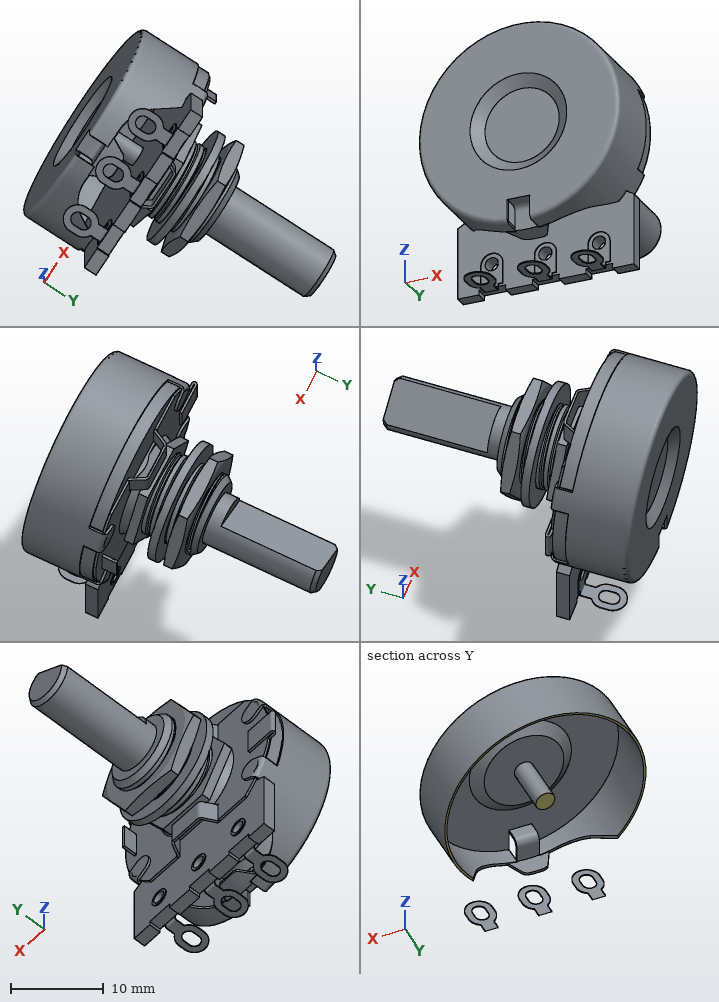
import cadquery as cq
import math


sheet = 0.3

case_front = 7.08
board_front = 8.6
plate_front = 8.87
flange_back = 9.9
flange_front = 10.97
washer_back = 12.85
washer_front = 13.8
nut_back = 14.68
nut_front = 16.25
bushing_front = 17.45
flat_back = 18.95
shaft_tip = 30.9

case_radius = 11.9
case_fillet = 0.53
dimple_rim_radius = 5.72
dimple_floor_radius = 4.4
dimple_depth = 0.95
skirt_opening_half_width = 8.65
skirt_opening_base_half_width = 5.87
skirt_opening_back = 2.47
skirt_opening_fillet = 4.65

tab_half_width = 1.33
tab_top = -9.1
tab_back = 2.07
tab_bend_radius = 0.62
tab_front = tab_back + sheet

tongue_front = 4.57
tongue_radius = 11.95
tongue_root_half_width = 2.47
tongue_corner_radius = 0.77

ear_angles = (30, 150, 210, 330)
ear_width = 2.65
ear_end_center = 10.17
ear_bend_radius = 0.6
ear_slot_clearance = 0.1
ear_front = plate_front + sheet

board_radius = 11.7
board_half_width = 10.42
board_bottom = -16.0
board_shoulder = -7.6
board_shoulder_angle = 30
board_notch_half_width = 1.58
board_notch_top = -15.45

terminal_pitch = 6.35
terminal_places = (-terminal_pitch, 0, terminal_pitch)
terminal_sheet = 0.12
terminal_half_width = 1.3
terminal_hole_z = -12.7
terminal_hole_radius = 0.77
terminal_pad_bottom = -15.18
neck_half_width = 0.77
neck_bend_radius = 0.15
rivet_head_radius = 1.08
lug_bottom = -15.98
lug_center_y = 3.95
lug_radius = 1.58
lug_hole_radius = 0.77
lug_straight = 0.77

plate_radius = 11.5
plate_half_height = 8.6
cone_base_radius = 5.85
cone_top_radius = 5.3
slot_inner = 5.7
arch_base_half_width = 3.35
arch_top_half_width = 2.3
arch_front = 10.6
arch_sheet = 0.28
arch_bend_radius = 0.62
pin_x = 9.75
pin_half_width = 1.8
pin_front = 10.63
hook_tip = -12.5
hook_end = -8.55
hook_front = 9.25
hook_half_width = 1.8

flange_corner_x = 6.7
flange_half_height = 5.72
flange_top_half_width = 3.15
thread_radius = 4.75
bushing_tip_radius = 4.17
bushing_chamfer = 0.68
thread_pitch = 1.0
thread_depth = 0.25
groove_mouth = 0.5
groove_floor = 0.22
groove_start = 9.77
groove_turns = 7
groove_overshoot = 0.05
shaft_radius = 3.0
shaft_tip_radius = 2.6
shaft_chamfer = 0.53
flat_distance = shaft_radius / 2
flat_angle = -30
pivot_radius = 1.15
nut_across_flats = 12.75
nut_face_radius = 6.25
nut_corner_chamfer = 0.28
washer_radius = 7.0


def across_y(y):
    """Sketch plane at height y on the axis, with sketch axes X and Z."""
    return cq.Workplane("XZ", origin=(0, y, 0))


def disc(radius, y_back, y_front):
    return across_y(y_back).circle(radius).extrude(y_back - y_front)


def block(x_range, y_range, z_range):
    ranges = (x_range, y_range, z_range)
    sizes = [high - low for low, high in ranges]
    return cq.Workplane("XY").box(*sizes, centered=False).translate([low for low, high in ranges])


def turned(profile):
    """Solid of revolution about Y from (radius, y) points."""
    return cq.Workplane("XY").polyline(profile).close().revolve(360, (0, 0, 0), (0, 1, 0))


def make_dimple(wall):
    """Cone that fills the dimple, thickened by a wall and moved inwards by as much."""
    return turned([
        (0, wall),
        (dimple_rim_radius + wall, wall),
        (dimple_floor_radius + wall, dimple_depth + wall),
        (0, dimple_depth + wall),
    ])


def make_skirt_opening():
    """Trapezoidal cutter with rounded inner corners, for the underside of the case skirt."""
    return (
        cq.Workplane("XY", origin=(0, 0, -case_radius - sheet))
        .polyline([
            (-skirt_opening_half_width, case_front),
            (-skirt_opening_base_half_width, skirt_opening_back),
            (skirt_opening_base_half_width, skirt_opening_back),
            (skirt_opening_half_width, case_front),
        ])
        .close()
        .extrude(case_radius)
        .edges("|Z and <Y")
        .fillet(skirt_opening_fillet)
    )


def make_case():
    shell = disc(case_radius, 0, case_front).faces("<Y").edges().fillet(case_fillet)
    cavity = disc(case_radius - sheet, sheet, case_front)
    cavity = cavity.cut(make_dimple(sheet))
    shell = shell.cut(cavity).cut(make_dimple(0)).cut(make_skirt_opening())
    notch = block((-tab_half_width, tab_half_width), (0, case_front), (-2 * case_radius, tab_top))
    return shell.cut(notch)


def make_stop_tab():
    """Sheet tab that runs inwards from the case back and bends down to the skirt."""
    outer_radius = tab_bend_radius + sheet
    bend_y = tab_back - tab_bend_radius
    bend_z = tab_top - tab_bend_radius
    diagonal = math.sqrt(0.5)
    tab = (
        cq.Workplane("YZ", origin=(-tab_half_width, 0, 0))
        .moveTo(0, tab_top)
        .lineTo(bend_y, tab_top)
        .threePointArc(
            (bend_y + tab_bend_radius * diagonal, bend_z + tab_bend_radius * diagonal),
            (tab_back, bend_z),
        )
        .lineTo(tab_back, -tongue_radius)
        .lineTo(tab_front, -tongue_radius)
        .lineTo(tab_front, bend_z)
        .threePointArc(
            (bend_y + outer_radius * diagonal, bend_z + outer_radius * diagonal),
            (bend_y, tab_top + sheet),
        )
        .lineTo(0, tab_top + sheet)
        .close()
        .extrude(2 * tab_half_width)
    )
    return tab.intersect(disc(tongue_radius, 0, tongue_front))


def make_tongue():
    """Curved tongue that continues the skirt forwards, tapering to a tip with rounded corners."""
    outline = (
        cq.Workplane("XY", origin=(0, 0, -tongue_radius))
        .polyline([
            (-tongue_root_half_width, tab_front),
            (-tab_half_width, tongue_front),
            (tab_half_width, tongue_front),
            (tongue_root_half_width, tab_front),
        ])
        .close()
        .extrude(tongue_radius / 2)
        .edges("|Z and >Y")
        .fillet(tongue_corner_radius)
    )
    shell = disc(tongue_radius, tab_front, tongue_front)
    shell = shell.cut(disc(tongue_radius - sheet, tab_front, tongue_front))
    return shell.intersect(outline)


def make_ear(angle):
    """Strip of case wall that crosses the board edge and folds over the plate to a round end."""
    half_width = ear_width / 2
    strip = block((ear_end_center, case_radius), (case_front, ear_front), (-half_width, half_width))
    strip = strip.intersect(disc(case_radius, case_front, ear_front))
    strip = strip.faces(">Y").edges(">X").fillet(ear_bend_radius)
    strip = strip.cut(disc(case_radius - sheet, case_front, plate_front))
    end = disc(half_width, plate_front, ear_front).translate((ear_end_center, 0, 0))
    return strip.union(end).rotate((0, 0, 0), (0, 1, 0), angle)


def make_ear_slot(angle):
    """Slot in the board edge that leaves a small clearance beside one ear."""
    half_width = ear_width / 2 + ear_slot_clearance
    slot = block((0, case_radius), (case_front, board_front), (-half_width, half_width))
    slot = slot.cut(disc(case_radius - sheet, case_front, board_front))
    return slot.rotate((0, 0, 0), (0, 1, 0), angle)


def make_apron():
    """Lower part of the board with sloping shoulders that run up inside the round part."""
    inner_half_width = board_radius / 2
    shoulder_run = board_half_width - inner_half_width
    shoulder_top = board_shoulder + shoulder_run * math.tan(math.radians(board_shoulder_angle))
    return (
        across_y(case_front)
        .polyline([
            (-board_half_width, board_bottom),
            (board_half_width, board_bottom),
            (board_half_width, board_shoulder),
            (inner_half_width, shoulder_top),
            (-inner_half_width, shoulder_top),
            (-board_half_width, board_shoulder),
        ])
        .close()
        .extrude(case_front - board_front)
    )


def make_board():
    board = disc(board_radius, case_front, board_front)
    for angle in ear_angles:
        board = board.cut(make_ear_slot(angle))
    board = board.union(make_apron())
    for x in terminal_places:
        board = board.cut(block(
            (x - board_notch_half_width, x + board_notch_half_width),
            (case_front, board_front),
            (board_bottom, board_notch_top),
        ))
    return board


def make_terminal(x):
    """Sheet terminal on the back of the board: pad, neck, and a ring lug bent backwards."""
    pad_back = case_front - terminal_sheet
    pad = block(
        (-terminal_half_width, terminal_half_width),
        (pad_back, case_front),
        (terminal_pad_bottom, terminal_hole_z),
    )
    pad_round = disc(terminal_half_width, pad_back, case_front).translate((0, 0, terminal_hole_z))
    lug_top = lug_bottom + terminal_sheet
    neck = (
        cq.Workplane("YZ", origin=(-neck_half_width, 0, 0))
        .polyline([
            (case_front, terminal_pad_bottom),
            (case_front, lug_bottom),
            (lug_center_y, lug_bottom),
            (lug_center_y, lug_top),
            (pad_back, lug_top),
            (pad_back, terminal_pad_bottom),
        ])
        .close()
        .extrude(2 * neck_half_width)
    )
    inner_corner = cq.selectors.NearestToPointSelector((0, pad_back, lug_top))
    outer_corner = cq.selectors.NearestToPointSelector((0, case_front, lug_bottom))
    neck = neck.edges(inner_corner).fillet(neck_bend_radius)
    neck = neck.edges(outer_corner).fillet(neck_bend_radius + terminal_sheet)
    lug_plane = cq.Workplane("XY", origin=(0, lug_center_y, lug_bottom))
    ring_length = lug_straight + 2 * lug_radius
    eye_length = lug_straight + 2 * lug_hole_radius
    along_y = 90
    ring = lug_plane.slot2D(ring_length, 2 * lug_radius, along_y).extrude(terminal_sheet)
    eye = lug_plane.slot2D(eye_length, 2 * lug_hole_radius, along_y).extrude(terminal_sheet)
    return pad.union(pad_round).union(neck).union(ring).cut(eye).translate((x, 0, 0))


def make_rivet_head(x):
    head = disc(rivet_head_radius, board_front, board_front + terminal_sheet)
    return head.translate((x, 0, terminal_hole_z))


def make_rivet_hole(x):
    hole = disc(terminal_hole_radius, case_front - sheet, board_front + sheet)
    return hole.translate((x, 0, terminal_hole_z))


def make_trapezoid(base_half_width, top_half_width, front, corner_radius):
    """Trapezoidal prism standing on the board, with its two front corners rounded."""
    outline = cq.Workplane("XY", origin=(0, 0, slot_inner)).polyline([
        (-base_half_width, board_front),
        (-top_half_width, front),
        (top_half_width, front),
        (base_half_width, board_front),
    ])
    prism = outline.close().extrude(plate_half_height - slot_inner)
    return prism.edges("|Z and >Y").fillet(corner_radius)


def make_arch():
    """Trapezoidal bridge of plate sheet above the upper slot."""
    slope = math.atan2(arch_front - board_front, arch_base_half_width - arch_top_half_width)
    wall_run = arch_sheet / math.sin(slope)
    corner_shift = arch_sheet * math.tan(slope / 2)
    outer = make_trapezoid(arch_base_half_width, arch_top_half_width, arch_front, arch_bend_radius)
    inner = make_trapezoid(
        arch_base_half_width - wall_run,
        arch_top_half_width - corner_shift,
        arch_front - arch_sheet,
        arch_bend_radius - arch_sheet,
    )
    return outer.cut(inner)


def make_hook():
    """Hairpin strip that leaves the plate edge and folds back over it."""
    side = (-hook_half_width, hook_half_width)
    bend_radius = (hook_front - board_front) / 2
    bend_x = hook_tip + bend_radius
    strip = block((bend_x, hook_end), (board_front, hook_front), side)
    bend = (
        cq.Workplane("XY", origin=(bend_x, board_front + bend_radius, -hook_half_width))
        .circle(bend_radius)
        .extrude(2 * hook_half_width)
    )
    plate_sheet = plate_front - board_front
    slit = block((bend_x, hook_end), (plate_front, hook_front - plate_sheet), side)
    return strip.union(bend).cut(slit)


def make_plate():
    """Front plate with the cone that carries the bushing, two arches, a hook and a pin."""
    plate = disc(plate_radius, board_front, plate_front)
    plate = plate.intersect(block(
        (-plate_radius, plate_radius),
        (board_front, plate_front),
        (-plate_half_height, plate_half_height),
    ))
    cone = turned([
        (0, board_front),
        (cone_base_radius, board_front),
        (cone_base_radius, plate_front),
        (cone_top_radius, flange_back),
        (0, flange_back),
    ])
    plate = plate.union(cone)
    slot = block(
        (-arch_base_half_width, arch_base_half_width),
        (board_front, flange_back),
        (slot_inner, plate_half_height),
    )
    arch = make_arch()
    for turn in (0, 180):
        plate = plate.cut(slot.rotate((0, 0, 0), (0, 1, 0), turn))
        plate = plate.union(arch.rotate((0, 0, 0), (0, 1, 0), turn))
    pin = block((pin_x, pin_x + sheet), (board_front, pin_front), (-pin_half_width, pin_half_width))
    return plate.union(pin).union(make_hook())


def make_flange():
    """Six-sided flange with two corners on the X axis."""
    return (
        across_y(flange_back)
        .polyline([
            (-flange_corner_x, 0),
            (-flange_top_half_width, flange_half_height),
            (flange_top_half_width, flange_half_height),
            (flange_corner_x, 0),
            (flange_top_half_width, -flange_half_height),
            (-flange_top_half_width, -flange_half_height),
        ])
        .close()
        .extrude(flange_back - flange_front)
    )


def make_thread_groove(length):
    """Helical groove that climbs the Z axis from height 0, with a trapezoidal section open outwards."""
    helix = cq.Wire.makeHelix(thread_pitch, length, thread_radius)
    flank_slope = (groove_mouth - groove_floor) / 2 / thread_depth
    outer_half = groove_mouth / 2 + groove_overshoot * flank_slope
    floor_half = groove_floor / 2
    floor_radius = thread_radius - thread_depth
    outer_radius = thread_radius + groove_overshoot
    return (
        cq.Workplane("XZ")
        .polyline([
            (floor_radius, -floor_half),
            (outer_radius, -outer_half),
            (outer_radius, outer_half),
            (floor_radius, floor_half),
        ])
        .close()
        .sweep(cq.Workplane(helix), isFrenet=True)
    )


def make_bushing():
    """Threaded bushing with a tapered tip, rooted in the plate cone, on a hexagonal flange."""
    rod_length = bushing_front - plate_front
    rod = cq.Workplane("XY", origin=(0, 0, plate_front)).circle(thread_radius).extrude(rod_length)
    rod = rod.faces(">Z").edges().chamfer(bushing_chamfer, thread_radius - bushing_tip_radius)
    groove = make_thread_groove(groove_turns * thread_pitch).translate((0, 0, groove_start))
    rod = rod.cut(groove).rotate((0, 0, 0), (1, 0, 0), -90)
    return rod.union(make_flange())


def make_shaft():
    """Shaft with a chamfered tip and one inclined flat."""
    shaft = turned([
        (0, flange_back),
        (shaft_radius, flange_back),
        (shaft_radius, shaft_tip - shaft_chamfer),
        (shaft_tip_radius, shaft_tip),
        (0, shaft_tip),
    ])
    removed = block(
        (-shaft_radius, shaft_radius),
        (flat_back, shaft_tip),
        (flat_distance, shaft_radius),
    ).rotate((0, 0, 0), (0, 1, 0), flat_angle)
    return shaft.cut(removed)


def make_nut():
    corner_radius = nut_across_flats / 2 / math.cos(math.radians(30))
    envelope = turned([
        (0, nut_back),
        (nut_face_radius, nut_back),
        (corner_radius, nut_back + nut_corner_chamfer),
        (corner_radius, nut_front - nut_corner_chamfer),
        (nut_face_radius, nut_front),
        (0, nut_front),
    ])
    prism = across_y(nut_back).polygon(6, 2 * corner_radius).extrude(nut_back - nut_front)
    blank = prism.intersect(envelope)
    return blank.cut(disc(thread_radius, nut_back, nut_front))


def make_washer():
    blank = disc(washer_radius, washer_back, washer_front)
    return blank.cut(disc(thread_radius, washer_back, washer_front))


def make_potentiometer():
    body = make_case().union(make_stop_tab()).union(make_tongue()).union(make_board())
    body = body.union(make_plate()).union(make_bushing()).union(make_shaft())
    for angle in ear_angles:
        body = body.union(make_ear(angle))
    for x in terminal_places:
        body = body.union(make_terminal(x)).union(make_rivet_head(x)).cut(make_rivet_hole(x))
    pivot = disc(pivot_radius, dimple_depth, case_front)
    return body.cut(pivot).union(pivot, clean=False)


potentiometer = make_potentiometer()
nut = make_nut()
washer = make_washer()

result = cq.Compound.makeCompound([potentiometer.val(), nut.val(), washer.val()])